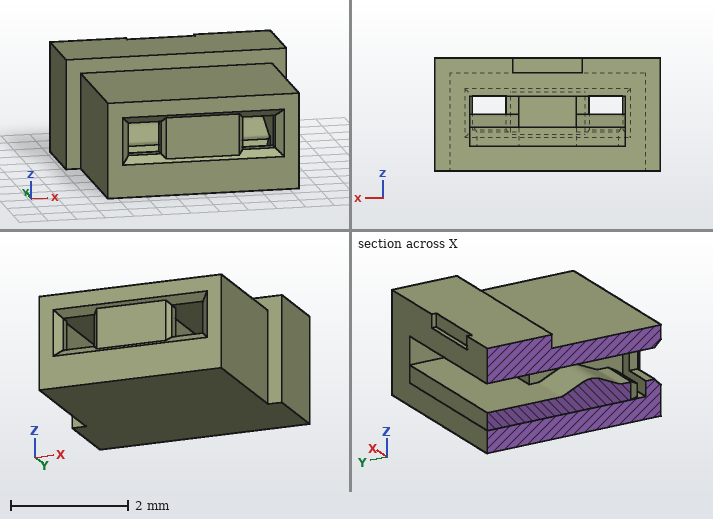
import cadquery as cq
import math


flange_width = 3.85
flange_height = 1.93
neck_width = 3.34
neck_height = 1.68
neck_length = 2.16
total_length = 3.45

notch_width = 1.185
notch_length = 0.092
notch_depth = flange_height - neck_height

mouth_chamfer = 0.13
passage_width = 2.565
passage_bottom = 0.71
passage_top = 1.28
passage_end = 0.305

block_width = 1.425
block_recess = 0.055
block_chamfer = mouth_chamfer - block_recess
rib_width = 0.985

contact_width = 2.655
contact_bottom = 0.425
contact_top = 0.97
nose_start = 0.44
nose_width = 2.41
nose_top = 0.665
nose_side_angle = math.radians(21.5)
lead_in_angle = math.radians(29)
shelf_height = 0.75
shelf_end = 0.77
rise_angle = math.radians(24.3)
lower_bend_radius = 0.17
upper_bend_radius = 0.425


def box(width, y_start, y_end, z_bottom, z_top):
    """Block centred on X between the given Y and Z limits."""
    return cq.Workplane("XY").box(
        width, y_end - y_start, z_top - z_bottom, centered=(True, False, False)
    ).translate((0, y_start, z_bottom))


def mouth():
    """Pyramidal lead-in that shrinks from the mating face to the passage."""
    height = passage_top - passage_bottom
    middle = (passage_top + passage_bottom) / 2
    return (
        cq.Workplane("XZ", origin=(0, 0, middle))
        .rect(passage_width + 2 * mouth_chamfer, height + 2 * mouth_chamfer)
        .workplane(offset=-mouth_chamfer)
        .rect(passage_width, height)
        .loft(ruled=True)
    )


def centre_block():
    """Block with a chamfered front, followed by the narrower rib between the contact prongs."""
    half_width = block_width / 2
    half_front = half_width - block_chamfer
    block = (
        cq.Workplane("XY", origin=(0, 0, passage_bottom - mouth_chamfer))
        .polyline([
            (-half_front, block_recess),
            (half_front, block_recess),
            (half_width, mouth_chamfer),
            (half_width, passage_end),
            (-half_width, passage_end),
            (-half_width, mouth_chamfer),
        ])
        .close()
        .extrude(passage_top - passage_bottom + 2 * mouth_chamfer)
    )
    rib = box(rib_width, passage_end, neck_length, contact_bottom, passage_top)
    return block.union(rib)


def make_housing():
    neck = box(neck_width, 0, neck_length, 0, neck_height)
    flange = box(flange_width, neck_length, total_length, 0, flange_height)
    notch = box(
        notch_width, total_length - notch_length, total_length, flange_height - notch_depth, flange_height
    )
    passage = box(passage_width, mouth_chamfer, passage_end, passage_bottom, passage_top)
    cavity = box(contact_width, passage_end, total_length, contact_bottom, passage_top)
    opening = mouth().union(passage).union(cavity).cut(centre_block())
    return neck.union(flange).cut(notch).cut(opening)


def bend(radius, turn):
    """Run and rise of a bend that turns from level by the given angle."""
    return radius * math.sin(turn), radius * (1 - math.cos(turn))


def contact_profile():
    """Side outline in Y and Z: nose, lead-in, shelf, rise over a symmetric hump, rear shelf."""
    lead_in_end = nose_start + (shelf_height - nose_top) / math.tan(lead_in_angle)
    lower_run, lower_rise = bend(lower_bend_radius, rise_angle)
    lower_mid_run, lower_mid_rise = bend(lower_bend_radius, rise_angle / 2)
    upper_run, upper_rise = bend(upper_bend_radius, rise_angle)

    rise_bottom = shelf_height + lower_rise
    rise_top = contact_top - upper_rise
    half_hump = lower_run + (rise_top - rise_bottom) / math.tan(rise_angle) + upper_run
    crest = shelf_end + half_hump
    rear_shelf_start = crest + half_hump
    return (
        cq.Workplane("YZ", origin=(-contact_width / 2, 0, 0))
        .moveTo(nose_start, contact_bottom)
        .lineTo(nose_start, nose_top)
        .lineTo(lead_in_end, shelf_height)
        .lineTo(shelf_end, shelf_height)
        .threePointArc(
            (shelf_end + lower_mid_run, shelf_height + lower_mid_rise),
            (shelf_end + lower_run, rise_bottom),
        )
        .lineTo(crest - upper_run, rise_top)
        .threePointArc((crest, contact_top), (crest + upper_run, rise_top))
        .lineTo(rear_shelf_start - lower_run, rise_bottom)
        .threePointArc(
            (rear_shelf_start - lower_mid_run, shelf_height + lower_mid_rise),
            (rear_shelf_start, shelf_height),
        )
        .lineTo(total_length, shelf_height)
        .lineTo(total_length, contact_bottom)
        .close()
    )


def contact_plan():
    """Prism seen from above: full width at the rear, tapering to the nose at the front."""
    half_width = contact_width / 2
    half_nose = nose_width / 2
    taper_end = nose_start + (half_width - half_nose) / math.tan(nose_side_angle)
    return (
        cq.Workplane("XY", origin=(0, 0, contact_bottom))
        .polyline([
            (-half_nose, nose_start),
            (half_nose, nose_start),
            (half_width, taper_end),
            (half_width, total_length),
            (-half_width, total_length),
            (-half_width, taper_end),
        ])
        .close()
        .extrude(contact_top - contact_bottom)
    )


def make_contact():
    strip = contact_profile().extrude(contact_width).intersect(contact_plan())
    rib_slot = box(rib_width, nose_start, neck_length, contact_bottom, contact_top)
    return strip.cut(rib_slot)


housing = make_housing()
contact = make_contact()

result = cq.Compound.makeCompound([housing.val(), contact.val()])